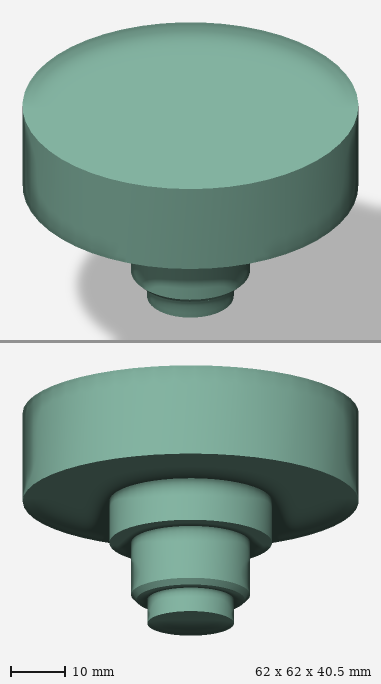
import cadquery as cq

head_diameter = 62.0
head_height = 17.0
collar_diameter = 30.0
collar_height = 8.0
shank_diameter = 22.0
shank_height = 11.0
shank_chamfer = 1.0
tip_diameter = 16.0
tip_height = 4.5

shank_bottom = tip_height
collar_bottom = shank_bottom + shank_height
head_bottom = collar_bottom + collar_height


def disc(diameter, height, bottom):
    """Solid cylinder on the Z axis, standing on the level `bottom`."""
    return cq.Workplane("XY").workplane(offset=bottom).circle(diameter / 2).extrude(height)


head = disc(head_diameter, head_height, head_bottom)
collar = disc(collar_diameter, collar_height, collar_bottom)
tip = disc(tip_diameter, tip_height, 0)

shank = disc(shank_diameter, shank_height, shank_bottom).faces("<Z").edges().chamfer(shank_chamfer)

result = head.union(collar).union(shank).union(tip)